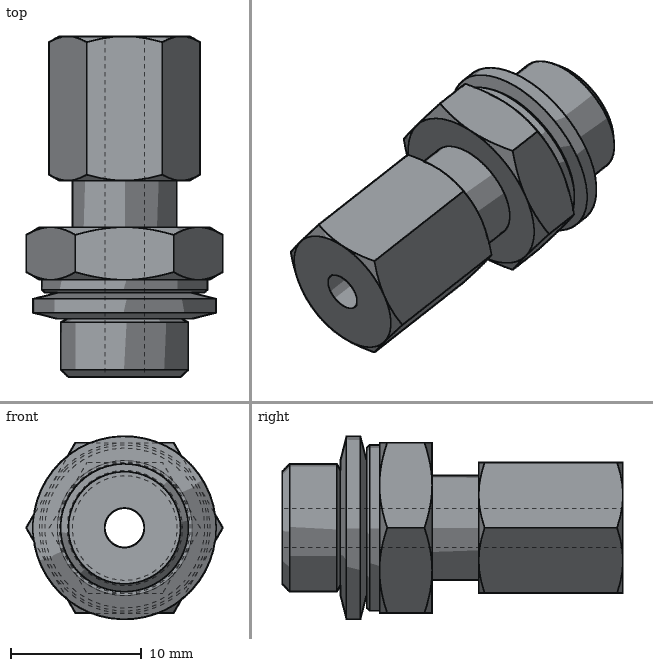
import cadquery as cq
import math

total_length = 26.03
bore_diameter = 3.0

stud_diameter = 9.75
stud_tip_diameter = 8.56
tip_chamfer_length = 0.57
stud_end = 4.2
relief_diameter = 8.8

washer_diameter = 14.0
washer_face_diameter = 10.3
washer_start = 4.45
washer_thickness = 2.0
washer_rim_width = 1.07
washer_end = washer_start + washer_thickness
washer_cone_length = (washer_thickness - washer_rim_width) / 2

collar_diameter = 12.68
collar_chamfer = 0.23

body_across_flats = 13.02
body_start = 7.45
body_length = 4.0
neck_diameter = 8.0
nut_across_flats = 10.0
nut_length = 11.0
nut_start = total_length - nut_length
hex_chamfer_angle = 30.0


def revolve_profile(points):
    """Revolve a closed outline of (radius, Y) points about the Y axis."""
    return cq.Workplane("XY").polyline(points).close().revolve(360, (0, 0), (0, 1))


def chamfered_hexagon(across_flats, start, length):
    """Hexagon with corners on the X axis and both ends turned to a cone."""
    corner_radius = across_flats / math.sqrt(3)
    flat_radius = across_flats / 2
    drop = (corner_radius - flat_radius) * math.tan(math.radians(hex_chamfer_angle))
    end = start + length
    prism = (
        cq.Workplane("XZ", origin=(0, start, 0))
        .polygon(6, 2 * corner_radius)
        .extrude(-length)
    )
    envelope = revolve_profile([
        (0, start),
        (flat_radius, start),
        (corner_radius, start + drop),
        (corner_radius, end - drop),
        (flat_radius, end),
        (0, end),
    ])
    return prism.intersect(envelope)


core = revolve_profile([
    (0, 0),
    (stud_tip_diameter / 2, 0),
    (stud_diameter / 2, tip_chamfer_length),
    (stud_diameter / 2, stud_end),
    (relief_diameter / 2, washer_start),
    (washer_face_diameter / 2, washer_start),
    (washer_diameter / 2, washer_start + washer_cone_length),
    (washer_diameter / 2, washer_end - washer_cone_length),
    (washer_face_diameter / 2, washer_end),
    (collar_diameter / 2 - collar_chamfer, washer_end),
    (collar_diameter / 2, washer_end + collar_chamfer),
    (collar_diameter / 2, body_start),
    (neck_diameter / 2, body_start),
    (neck_diameter / 2, nut_start),
    (0, nut_start),
])

body_hexagon = chamfered_hexagon(body_across_flats, body_start, body_length)
union_nut = chamfered_hexagon(nut_across_flats, nut_start, nut_length)
bore = cq.Workplane("XZ").circle(bore_diameter / 2).extrude(-total_length)

result = core.union(body_hexagon).union(union_nut).cut(bore)